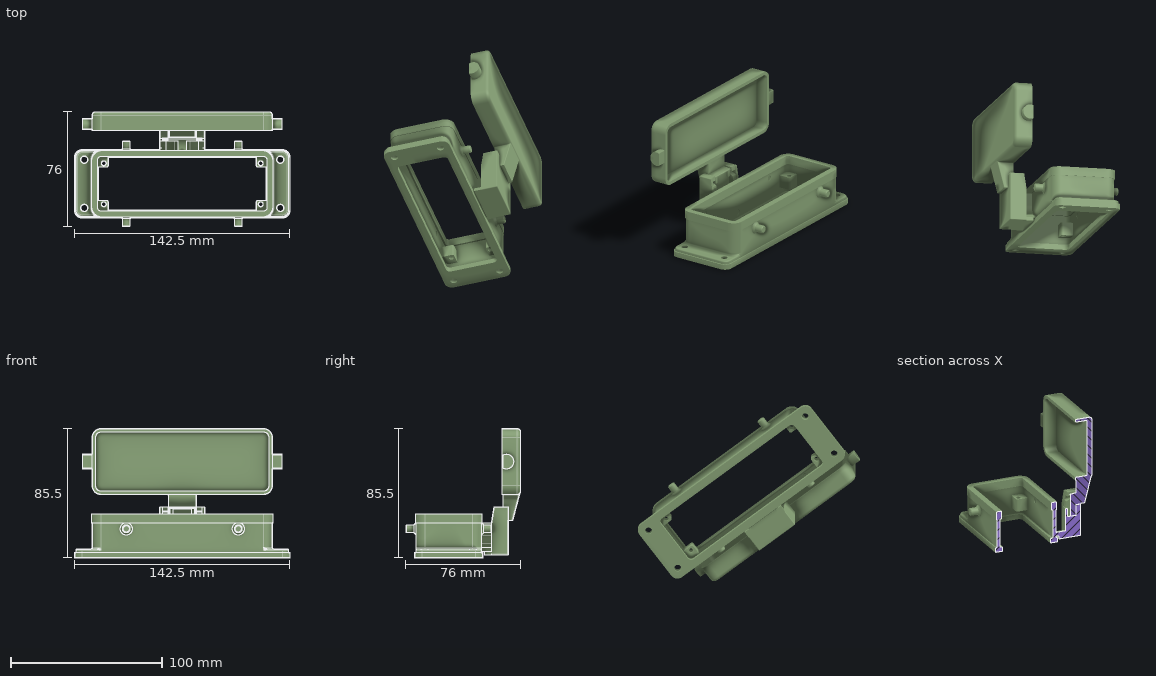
import cadquery as cq

flange_length = 142.5
flange_width = 45.2
flange_height = 3.5
flange_corner = 5.0
step_inset = 0.93
step_top = 5.8
step_edge_radius = 1.0
flange_hole_diameter = 4.5
flange_hole_x = 64.8
flange_hole_y = 16.0

body_length = 119.3
body_width = flange_width - 2 * step_inset
body_corner = 6.0
base_fillet = 1.0
collar_overhang = 0.4
collar_bottom = 23.2
housing_top = 29.0

rim_length = 112.0
rim_width = 35.9
rim_corner = 2.0
rim_overhang = 1.1
cavity_length = rim_length + 2 * rim_overhang
cavity_width = rim_width + 2 * rim_overhang
cavity_corner = rim_corner + rim_overhang
sill_inset = 0.5
sill_corner = 2.7

block_bottom = 8.4
block_top = 17.1
block_inner_x = 48.9
block_inner_y = 11.0
block_edge_radius = 1.3
block_hole_diameter = 3.0
block_hole_x = 51.9
block_hole_y = 13.5

pin_x = 37.0
pin_z = 19.2
pin_diameter = 5.1
pin_tip_y = 28.4
pin_tip_chamfer = 0.5
boss_diameter = 8.1
boss_height = 1.4
pin_root_depth = 1.1
wall_mark_depth = 0.3
pin_mark_diameter = 3.4
hinge_mark_diameter = 4.8
hinge_mark_z = 7.5

bracket_half_width = 15.0
bracket_back = 39.5
bracket_front = 28.2
bracket_top_front = 29.9
bracket_bottom = 1.9
bracket_top = 33.8
bracket_edge_radius = 0.5
floor_front = 23.5
floor_top = 4.1
front_wall_top = 23.1
back_wall_top = 24.7
slot_bottom = 17.1
front_wall_back = 29.8
slot_half_width = 9.4
cheek_wall = 1.9
front_recess_depth = 0.4
window_top = 30.9
window_back = 35.6
window_sill_back = 30.5
window_sill_front = 27.0
neck_half_width = 2.7
neck_straight_bottom = 14.8
neck_flare_x = 5.0
neck_flare_z = 9.5
neck_foot_x = 10.8
neck_foot_z = 6.8

cover_length = body_length
cover_bottom = 41.9
cover_top = 85.5
cover_back = 47.6
cover_depth = 12.4
cover_corner = 6.0
cover_edge_radius = 2.3
cover_wall = 2.3
cover_recess_depth = 8.4
cover_front = cover_back - cover_depth
cover_height = cover_top - cover_bottom
cover_center_z = (cover_top + cover_bottom) / 2

knob_radius = 4.8
knob_flat_offset = 2.1
knob_tip_x = 66.0
knob_y = 38.2

arm_half_width = 9.3
arm_front = 35.8
arm_tail_y = 42.3
arm_bottom = back_wall_top
arm_back_inset = 0.1
arm_edge_radius = 0.5
arm_root_radius = 0.4
knuckle_half_width = 8.8
knuckle_front = 30.6
knuckle_edge = 0.4
knuckle_back_z = 33.6
knuckle_front_z = 33.0
knuckle_pocket_half_width = 6.0
knuckle_pocket_depth = 1.3
knuckle_rib_width = 2.0
knuckle_rib_bottom = 27.8

select_margin = 0.1

both_sides = (-1, 1)


def rounded_block(length, width, corner, bottom, top):
    """Upright block centred on X and Y with rounded vertical edges."""
    block = cq.Workplane("XY").box(length, width, top - bottom, centered=(True, True, False))
    return block.edges("|Z").fillet(corner).translate((0, 0, bottom))


def box_between(x0, x1, y0, y1, z0, z1):
    """Box given by its limits along each axis."""
    return cq.Workplane("XY").box(x1 - x0, y1 - y0, z1 - z0, centered=False).translate((x0, y0, z0))


def across_x(points, half_width):
    """Prism with a (Y, Z) outline, centred on X."""
    return cq.Workplane("YZ").polyline(points).close().extrude(half_width, both=True)


def make_base_fillet():
    """Concave fillet between the body ends and the top of the flange step."""
    fillet_top = step_top + base_fillet
    skirt = rounded_block(
        body_length + 2 * base_fillet,
        body_width + 2 * base_fillet,
        body_corner + base_fillet,
        step_top,
        fillet_top,
    )
    path = skirt.faces(">Z").wires()
    rim_wire = path.val()
    start = cq.Plane(origin=rim_wire.startPoint(), normal=rim_wire.tangentAt(0))
    hollow = cq.Workplane(start).circle(base_fillet).sweep(path)
    step_area = cq.Workplane("XY").box(flange_length, body_width, 2 * fillet_top)
    return skirt.cut(hollow).intersect(step_area)


def make_shell():
    """Flange, step, body and collar, still solid inside."""
    flange = rounded_block(flange_length, flange_width, flange_corner, 0, flange_height)
    step = rounded_block(
        flange_length - 2 * step_inset, body_width, flange_corner - step_inset, flange_height, step_top
    )
    step = step.faces(">Z").edges().fillet(step_edge_radius)
    body = rounded_block(body_length, body_width, body_corner, flange_height, collar_bottom)
    collar = rounded_block(
        body_length + 2 * collar_overhang,
        body_width + 2 * collar_overhang,
        body_corner + collar_overhang,
        collar_bottom,
        housing_top,
    )
    return flange.union(step).union(make_base_fillet()).union(body).union(collar)


def make_cavity():
    """Opening through the housing: wide between an overhanging rim and a narrow sill."""
    rim = rounded_block(rim_length, rim_width, rim_corner, collar_bottom, housing_top)
    middle = rounded_block(cavity_length, cavity_width, cavity_corner, flange_height, collar_bottom)
    sill = rounded_block(
        rim_length - 2 * sill_inset, rim_width - 2 * sill_inset, sill_corner, 0, flange_height
    )
    return rim.union(middle).union(sill)


def make_corner_block(side_x, side_y):
    """Screw block in one corner of the cavity."""
    embedding = (body_length - cavity_length) / 4
    outer_x = cavity_length / 2 + embedding
    outer_y = cavity_width / 2 + embedding
    block = box_between(
        block_inner_x, outer_x, block_inner_y, outer_y, block_bottom, block_top
    )
    block = block.edges("|Z and <X and <Y").fillet(block_edge_radius)
    block = block.edges("|Z and >X and >Y").fillet(cavity_corner + embedding)
    hole = (
        cq.Workplane("XY", origin=(block_hole_x, block_hole_y, block_bottom))
        .circle(block_hole_diameter / 2)
        .extrude(block_top - block_bottom)
    )
    block = block.cut(hole)
    if side_x < 0:
        block = block.mirror("YZ")
    if side_y < 0:
        block = block.mirror("XZ")
    return block


def make_pin(x, side_y):
    """Locking pin on a conical boss, standing out from a long wall."""
    wall_y = body_width / 2
    root_y = wall_y - pin_root_depth
    pin = (
        cq.Workplane("XY")
        .moveTo(0, root_y)
        .lineTo(boss_diameter / 2, root_y)
        .lineTo(boss_diameter / 2, wall_y)
        .lineTo(pin_diameter / 2, wall_y + boss_height)
        .lineTo(pin_diameter / 2, pin_tip_y - pin_tip_chamfer)
        .lineTo(pin_diameter / 2 - pin_tip_chamfer, pin_tip_y)
        .lineTo(0, pin_tip_y)
        .close()
        .revolve(360, (0, 0, 0), (0, 1, 0))
    )
    if side_y < 0:
        pin = pin.mirror("XZ")
    return pin.translate((x, 0, pin_z))


def make_bracket():
    """Hinge bracket: two cheeks beside a slot, on a flared neck and a floor."""
    outline = [
        (bracket_back, bracket_bottom),
        (bracket_front, bracket_bottom),
        (bracket_front, front_wall_top),
        (bracket_top_front, bracket_top),
        (bracket_back, bracket_top),
    ]
    bracket = across_x(outline, bracket_half_width)
    bracket = bracket.edges("|Y or >Y").fillet(bracket_edge_radius)

    slot_outline = [
        (bracket_front, front_wall_top),
        (front_wall_back, front_wall_top),
        (front_wall_back, slot_bottom),
        (arm_front, slot_bottom),
        (arm_front, back_wall_top),
        (bracket_back, back_wall_top),
        (bracket_back, bracket_top),
        (bracket_front, bracket_top),
    ]
    slot = across_x(slot_outline, slot_half_width)
    window_outline = [
        (bracket_front, window_sill_front),
        (window_back, window_sill_back),
        (window_back, window_top),
        (bracket_front, window_top),
    ]
    windows = across_x(window_outline, bracket_half_width - cheek_wall)
    front_recess_outline = [
        (bracket_front, front_wall_top),
        (bracket_front + front_recess_depth, front_wall_top),
        (bracket_top_front + front_recess_depth, bracket_top),
        (bracket_top_front, bracket_top),
    ]
    front_recess = across_x(front_recess_outline, bracket_half_width - cheek_wall)
    bracket = bracket.cut(slot).cut(windows).cut(front_recess)

    floor = box_between(
        -bracket_half_width, bracket_half_width, floor_front, bracket_front, bracket_bottom, floor_top
    )
    return bracket.union(floor).union(make_neck())


def make_neck():
    """Neck joining the bracket to the back wall, flaring out to a wide foot."""
    half = (
        cq.Workplane("XZ", origin=(0, bracket_front, 0))
        .moveTo(0, front_wall_top)
        .lineTo(neck_half_width, front_wall_top)
        .lineTo(neck_half_width, neck_straight_bottom)
        .tangentArcPoint((neck_flare_x, neck_flare_z), relative=False)
        .tangentArcPoint((neck_foot_x, neck_foot_z), relative=False)
        .lineTo(bracket_half_width, floor_top)
        .lineTo(0, floor_top)
        .close()
        .extrude(bracket_front - body_width / 2)
    )
    return half.union(half.mirror("YZ"))


def wall_mark(x, z, diameter, side_y):
    """Shallow round recess on the inner face of a long wall."""
    mark = cq.Workplane("XZ", origin=(x, cavity_width / 2, z)).circle(diameter / 2).extrude(-wall_mark_depth)
    return mark if side_y > 0 else mark.mirror("XZ")


def make_housing():
    """Housing with its locking pins, hinge bracket, cavity, screw blocks and flange holes."""
    housing = make_shell()
    for side_x in both_sides:
        for side_y in both_sides:
            housing = housing.union(make_pin(side_x * pin_x, side_y))
    housing = housing.union(make_bracket())
    housing = housing.cut(make_cavity())
    for side_x in both_sides:
        for side_y in both_sides:
            housing = housing.union(make_corner_block(side_x, side_y))
            housing = housing.cut(wall_mark(side_x * pin_x, pin_z, pin_mark_diameter, side_y))
    housing = housing.cut(wall_mark(0, hinge_mark_z, hinge_mark_diameter, 1))
    flange_holes = (
        cq.Workplane("XY")
        .rect(2 * flange_hole_x, 2 * flange_hole_y, forConstruction=True)
        .vertices()
        .circle(flange_hole_diameter / 2)
        .extrude(step_top)
    )
    return housing.cut(flange_holes)


def make_pan():
    """Solid pan of the cover and the recess that opens it to the front."""
    plane = cq.Workplane("XZ", origin=(0, cover_back, cover_center_z))
    pan = plane.rect(cover_length, cover_height).extrude(cover_depth)
    pan = pan.edges("|Y").fillet(cover_corner)
    pan = pan.faces(">Y").edges().fillet(cover_edge_radius)
    recess = (
        cq.Workplane("XZ", origin=(0, cover_front, cover_center_z))
        .rect(cover_length - 2 * cover_wall, cover_height - 2 * cover_wall)
        .extrude(-cover_recess_depth)
        .edges("|Y")
        .fillet(cover_corner - cover_wall)
    )
    return pan, recess


def make_knobs():
    """D-shaped rod whose ends stand out from the cover as knobs."""
    rod = (
        cq.Workplane("YZ", origin=(0, knob_y, cover_center_z))
        .circle(knob_radius)
        .extrude(knob_tip_x, both=True)
    )
    flat = box_between(
        -knob_tip_x,
        knob_tip_x,
        knob_y - 2 * knob_radius,
        knob_y - knob_flat_offset,
        cover_bottom,
        cover_top,
    )
    return rod.cut(flat)


def make_arm():
    """Tapered hinge arm below the pan, ending in a pocketed knuckle."""
    taper_top = cover_bottom + cover_edge_radius
    outline = [
        (arm_front, taper_top),
        (cover_back - arm_back_inset, taper_top),
        (arm_tail_y, arm_bottom),
        (arm_front, arm_bottom),
    ]
    arm = across_x(outline, arm_half_width)
    arm = arm.edges("not(|X or |Y or |Z)").fillet(arm_edge_radius)
    return arm.union(make_knuckle())


def make_knuckle():
    """Block at the end of the arm with a hooded front face and two ribs under the hood."""
    panel_y = knuckle_front + knuckle_pocket_depth
    hood_bottom = knuckle_front_z - 2 * knuckle_edge
    outline = [
        (panel_y, slot_bottom),
        (arm_front, slot_bottom),
        (arm_front, knuckle_back_z),
        (knuckle_front + knuckle_edge, knuckle_front_z),
        (knuckle_front, knuckle_front_z - knuckle_edge),
        (knuckle_front, hood_bottom),
        (panel_y, hood_bottom),
    ]
    knuckle = across_x(outline, knuckle_half_width)
    knuckle = knuckle.edges("not(|X or |Y or |Z)").chamfer(knuckle_edge)
    rib = box_between(
        knuckle_pocket_half_width,
        knuckle_pocket_half_width + knuckle_rib_width,
        knuckle_front,
        panel_y,
        knuckle_rib_bottom,
        hood_bottom,
    )
    return knuckle.union(rib).union(rib.mirror("YZ"))


def make_cover():
    """Cover pan with its hinge arm, end knobs and front recess."""
    pan, recess = make_pan()
    cover = pan.union(make_arm())
    side_roots = cq.selectors.BoxSelector(
        (-2 * arm_half_width, arm_front + select_margin, cover_bottom - select_margin),
        (2 * arm_half_width, cover_back, cover_bottom + select_margin),
    )
    cover = cover.edges(side_roots).fillet(arm_root_radius)
    return cover.union(make_knobs()).cut(recess)


housing = make_housing()
cover = make_cover()
result = cq.Compound.makeCompound([housing.val(), cover.val()])